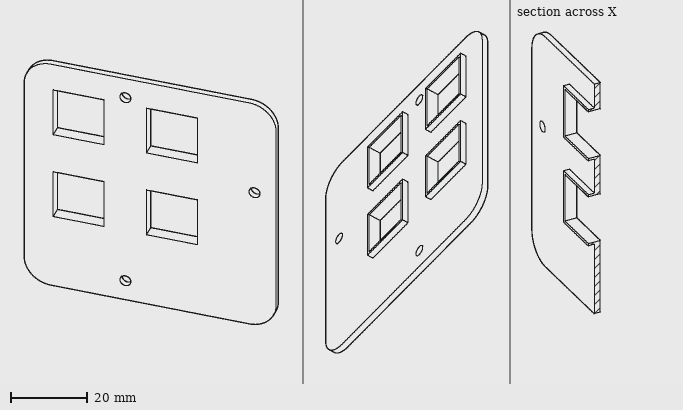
import cadquery as cq

plate_side = 70.0
plate_thickness = 1.8
corner_radius = 7.5

total_depth = 3.6
window_side = 14.15
rim_wall = 0.8
window_pitch = 25.9
near_offset = 6.0
far_offset = window_pitch - near_offset
rim_side = window_side + 2 * rim_wall

hole_diameter = 3.0
hole_reach = 29.0
hole_shift = 6.85

window_centres = [(x, z) for x in (-far_offset, near_offset) for z in (-near_offset, far_offset)]
hole_centres = [
    (-hole_shift, hole_reach),
    (-hole_shift, -hole_reach),
    (hole_reach, hole_shift),
]


def square_bars(centres, side, depth):
    """Square bars running from the front face towards +Y."""
    return cq.Workplane("XZ").pushPoints(centres).rect(side, side).extrude(-depth)


plate = square_bars([(0, 0)], plate_side, plate_thickness).edges("|Y").fillet(corner_radius)
rims = square_bars(window_centres, rim_side, total_depth)
windows = square_bars(window_centres, window_side, total_depth)
holes = cq.Workplane("XZ").pushPoints(hole_centres).circle(hole_diameter / 2).extrude(-plate_thickness)

result = plate.union(rims).cut(windows).cut(holes)